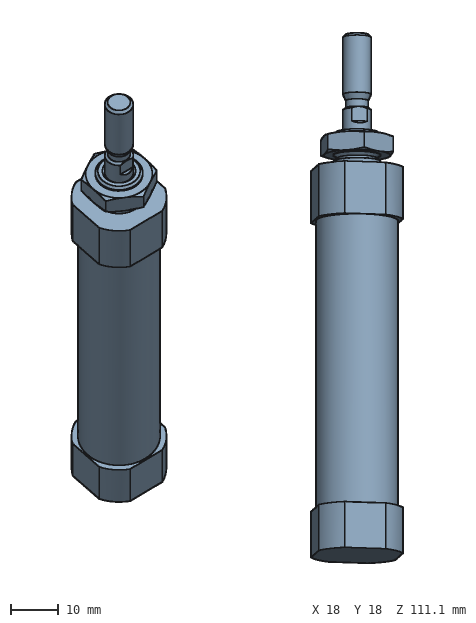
import cadquery as cq
import math

total_height = 111.1

cap_width = 18.0
cap_corner_diameter = 20.0
rear_cap_height = 9.8
tube_diameter = 17.3
front_cap_bottom = 71.3
front_cap_top = 82.4
collar_diameter = 10.0
collar_height = 1.5
neck_diameter = 8.4
neck_height = 0.7
thread_diameter = 10.0
thread_chamfer = 0.5
thread_top = 90.2
bore_mouth_diameter = 7.0

nut_across_flats = 14.0
nut_bottom = 85.3
nut_height = 4.0
nut_chamfer_angle = 20

rod_diameter = 6.0
rod_bottom = front_cap_bottom
rod_tip_diameter = 4.8
rod_thread_bottom = 98.3
rod_relief_diameter = 4.8
rod_relief_top = 97.0
rod_relief_bottom = 95.4
rod_shoulder = 0.4
flat_bottom = 91.8
flat_spacing = 5.0

collar_top = front_cap_top + collar_height
neck_top = collar_top + neck_height
rod_radius = rod_diameter / 2
rod_tip_chamfer = rod_radius - rod_tip_diameter / 2


def disc(diameter, bottom, top):
    return cq.Workplane("XY").workplane(offset=bottom).circle(diameter / 2).extrude(top - bottom)


def end_cap(bottom, top):
    """Square block whose corners are rounded by a concentric cylinder."""
    block = cq.Workplane("XY").workplane(offset=bottom).rect(cap_width, cap_width).extrude(top - bottom)
    return block.intersect(disc(cap_corner_diameter, bottom, top))


def make_cylinder_body():
    thread = disc(thread_diameter, neck_top, thread_top)
    thread = thread.faces(">Z").chamfer(thread_chamfer)
    thread = thread.faces("<Z").chamfer((thread_diameter - neck_diameter) / 2)
    body = (
        end_cap(0, rear_cap_height)
        .union(disc(tube_diameter, rear_cap_height, front_cap_bottom))
        .union(end_cap(front_cap_bottom, front_cap_top))
        .union(disc(collar_diameter, front_cap_top, collar_top))
        .union(disc(neck_diameter, collar_top, neck_top))
        .union(thread)
    )
    bore = disc(rod_diameter, rod_bottom, thread_top)
    bore_chamfer = (bore_mouth_diameter - rod_diameter) / 2
    body = body.cut(bore)
    return body.faces(">Z").edges("%CIRCLE").edges(cq.selectors.RadiusNthSelector(0)).chamfer(bore_chamfer)


def make_nut():
    across_corners = nut_across_flats / math.cos(math.pi / 6)
    hexagon = cq.Workplane("XY").workplane(offset=nut_bottom).polygon(6, across_corners).extrude(nut_height)
    corner_radius = across_corners / 2
    chamfer_width = corner_radius - nut_across_flats / 2
    chamfer_height = chamfer_width * math.tan(math.radians(nut_chamfer_angle))
    trim = disc(across_corners, nut_bottom, nut_bottom + nut_height)
    trim = trim.faces("<Z or >Z").chamfer(chamfer_height, chamfer_width)
    return hexagon.intersect(trim).cut(disc(thread_diameter, nut_bottom, nut_bottom + nut_height))


def make_rod():
    relief_radius = rod_relief_diameter / 2
    rod = (
        cq.Workplane("XZ")
        .moveTo(0, rod_bottom)
        .lineTo(rod_radius, rod_bottom)
        .lineTo(rod_radius, rod_relief_bottom - rod_shoulder)
        .lineTo(relief_radius, rod_relief_bottom)
        .lineTo(relief_radius, rod_relief_top)
        .lineTo(rod_radius, rod_thread_bottom)
        .lineTo(rod_radius, total_height - rod_tip_chamfer)
        .lineTo(rod_tip_diameter / 2, total_height)
        .lineTo(0, total_height)
        .close()
        .revolve(360, (0, 0, 0), (0, 1, 0))
    )
    flat_offset = flat_spacing / 2
    runout = rod_radius - flat_offset
    flat_cutter = (
        cq.Workplane("XZ")
        .moveTo(rod_radius, flat_bottom)
        .lineTo(flat_offset, flat_bottom + runout)
        .lineTo(flat_offset, rod_relief_bottom)
        .lineTo(rod_radius, rod_relief_bottom)
        .close()
        .extrude(rod_radius, both=True)
    )
    for angle in (0, 180):
        rod = rod.cut(flat_cutter.rotate((0, 0, 0), (0, 0, 1), angle))
    return rod


cylinder_body = make_cylinder_body()
mounting_nut = make_nut()
piston_rod = make_rod()

result = cq.Compound.makeCompound([cylinder_body.val(), mounting_nut.val(), piston_rod.val()])